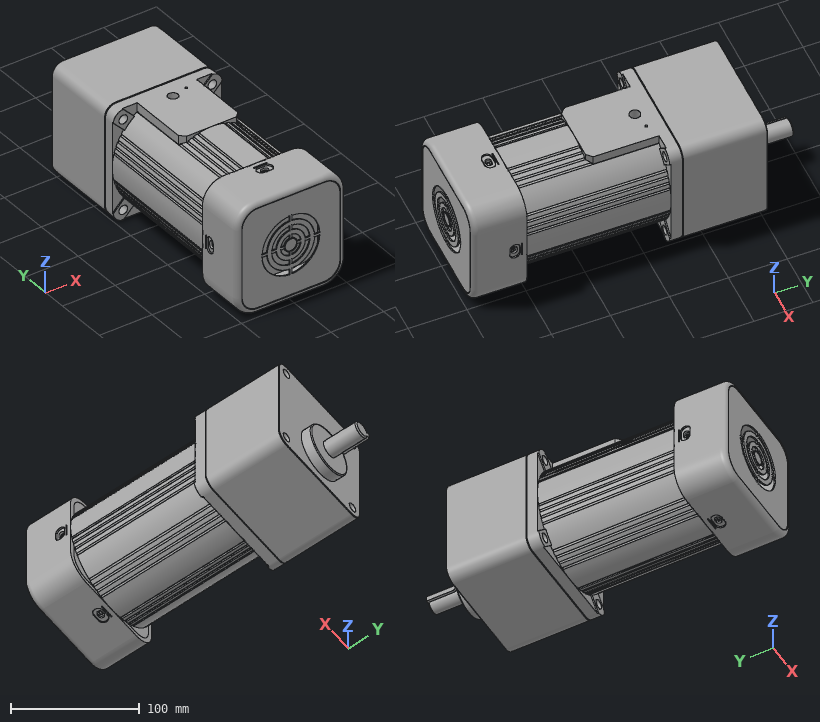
import cadquery as cq
import math

side = 104.0
half_side = side / 2

cover_end = 46.0
flange_start = 168.2
flange_end = 178.0
gearbox_end = 250.2
boss_end = 260.0
shaft_end = 292.0

gearbox_corner_radius = 10.5
gearbox_edge_chamfer = 0.5
output_drop = 20.0
boss_radius = 23.5
boss_chamfer = 1.0
shaft_radius = 7.5
shaft_chamfer = 1.2
key_width = 5.0
key_length = 26.0
key_reach = 9.3

bolt_offset = 42.3
bolt_hole_diameter = 8.2
lug_width = 13.5
lug_height = 1.2

barrel_radius = half_side
groove_radius = 1.0
groove_start_angle = 14.3
groove_pitch_angle = 6.0
grooves_per_group = 4

pad_width = 56.6
pad_start = 107.7
pad_chamfer = 4.7
pad_bottom = math.sqrt(barrel_radius**2 - (pad_width / 2) ** 2)
cable_hole_y = 160.0
cable_hole_diameter = 9.0
cable_hole_depth = 11.7
pin_hole_x = 15.0
pin_hole_y = 163.2
pin_hole_diameter = 2.0
pin_hole_depth = 3.0

cover_corner_radius = 20.1
cover_edge_fillet = 5.0
cover_wall = 4.5
panel_depth = 0.3
panel_slope_width = 0.5
panel_slope_angle = math.degrees(math.atan2(panel_slope_width, panel_depth))
grille_thickness = 1.2
grille_inside = panel_depth + grille_thickness
hub_recess_radius = 5.5
hub_recess_depth = 0.3
fan_space_end = 32.0
spigot_half_side = half_side - cover_wall
spigot_corner_radius = cover_corner_radius - cover_wall
spigot_hole_x = 22.8
spigot_hole_drop = 13.0
spigot_hole_diameter = 2.0
spigot_hole_depth = 3.0
grille_rings = [(6.0, 9.5), (13.7, 18.0), (22.5, 27.5)]
spoke_width = 2.3

recess_y = 36.0
recess_length = 15.0
recess_width = 8.8
recess_depth = 1.5
screw_slot_length = 7.0
screw_slot_width = 5.0
screw_slot_depth = 3.5
screw_core_length = 3.8
screw_core_width = 2.3
mark_y = 41.8
mark_length = 12.3
mark_width = 0.5
mark_depth = 0.5


def section_at(y, x=0, z=0):
    """Workplane across the Y axis; local X is -X, local Y is Z and extrusion runs towards +Y."""
    return cq.Workplane(cq.Plane(origin=(x, y, z), xDir=(-1, 0, 0), normal=(0, 1, 0)))


def rounded_square(start, end, half_width, corner_radius):
    """Square bar along Y with rounded corners."""
    bar = section_at(start).rect(2 * half_width, 2 * half_width).extrude(end - start)
    return bar.edges("|Y").fillet(corner_radius)


def rod(start, end, radius, z=0):
    """Round bar along Y."""
    return section_at(start, z=z).circle(radius).extrude(end - start)


def bolt_holes(start, end):
    """Four round tools, one in each corner."""
    pattern = section_at(start).rect(2 * bolt_offset, 2 * bolt_offset, forConstruction=True).vertices()
    return pattern.circle(bolt_hole_diameter / 2).extrude(end - start)


def make_key():
    """Key on the -X side of the shaft, square at the shaft tip and round at the inner end."""
    round_radius = key_width / 2
    outline = (
        cq.Workplane("YZ", origin=(-key_reach, shaft_end, -output_drop))
        .moveTo(0, round_radius)
        .lineTo(round_radius - key_length, round_radius)
        .threePointArc((-key_length, 0), (round_radius - key_length, -round_radius))
        .lineTo(0, -round_radius)
        .close()
    )
    return outline.extrude(key_reach)


def make_gearbox():
    body = rounded_square(flange_end, gearbox_end, half_side, gearbox_corner_radius)
    body = body.faces("<Y or >Y").edges().chamfer(gearbox_edge_chamfer)
    boss = rod(gearbox_end, boss_end, boss_radius, -output_drop).faces(">Y").edges().chamfer(boss_chamfer)
    shaft = rod(boss_end, shaft_end, shaft_radius, -output_drop).faces(">Y").edges().chamfer(shaft_chamfer)
    body = body.union(boss).union(shaft).union(make_key())
    return body.cut(bolt_holes(flange_end, gearbox_end))


def make_flange():
    """Square flange with a raised diagonal lug around each bolt hole."""
    flange = rounded_square(flange_start, flange_end, half_side, gearbox_corner_radius)
    lug_start = flange_start - lug_height
    diagonals = (
        section_at(lug_start)
        .transformed(rotate=(0, 0, 45))
        .rect(4 * half_side, lug_width)
        .rect(lug_width, 4 * half_side)
        .extrude(lug_height, combine=False)
    )
    lugs = rounded_square(lug_start, flange_start, half_side, gearbox_corner_radius).intersect(diagonals)
    return flange.union(lugs)


def make_grooves():
    """Half-round cooling grooves in two mirrored groups on each of the four sides."""
    one = section_at(cover_end, x=barrel_radius).circle(groove_radius).extrude(flange_start - cover_end)
    grooves = []
    for quarter in range(4):
        for direction in (-1, 1):
            for index in range(grooves_per_group):
                offset = groove_start_angle + index * groove_pitch_angle
                angle = quarter * 90 + direction * offset
                grooves.append(one.rotate((0, 0, 0), (0, 1, 0), angle).val())
    return cq.Compound.makeCompound(grooves)


def make_pad():
    """Flat terminal pad from the flange towards the fan cover, with chamfered free corners."""
    length = flange_start - pad_start
    pad = (
        cq.Workplane("XY", origin=(0, pad_start + length / 2, pad_bottom))
        .rect(pad_width, length)
        .extrude(half_side - pad_bottom)
    )
    return pad.faces("<Y").edges("|Z").chamfer(pad_chamfer)


def pad_hole(x, y, diameter, depth):
    """Blind hole tool sunk from the top of the pad."""
    return cq.Workplane("XY", origin=(x, y, half_side)).circle(diameter / 2).extrude(-depth)


def make_spigot_holes():
    """Two small blind holes in the rear face of the spigot."""
    centres = [(direction * spigot_hole_x, -spigot_hole_drop) for direction in (-1, 1)]
    holes = section_at(fan_space_end).pushPoints(centres).circle(spigot_hole_diameter / 2)
    return holes.extrude(spigot_hole_depth)


def make_motor():
    body = rod(cover_end, flange_start, barrel_radius).cut(make_grooves())
    body = body.union(make_flange()).union(make_pad())
    body = body.cut(bolt_holes(flange_start - lug_height, flange_end))
    body = body.cut(pad_hole(0, cable_hole_y, cable_hole_diameter, cable_hole_depth))
    body = body.cut(pad_hole(pin_hole_x, pin_hole_y, pin_hole_diameter, pin_hole_depth))
    spigot = rounded_square(fan_space_end, cover_end, spigot_half_side, spigot_corner_radius)
    return body.union(spigot).cut(make_spigot_holes())


def make_grille_slots():
    """Rings of slots that two crossed spokes divide into quarters."""
    slots = cq.Workplane("XZ")
    for inner_radius, outer_radius in grille_rings:
        core = rod(panel_depth, grille_inside, inner_radius)
        slots = slots.union(rod(panel_depth, grille_inside, outer_radius).cut(core))
    level_spoke = section_at(panel_depth).rect(side, spoke_width).extrude(grille_thickness)
    upright_spoke = section_at(panel_depth).rect(spoke_width, side).extrude(grille_thickness)
    return slots.cut(level_spoke).cut(upright_spoke)


def make_side_recess():
    """Tools on the top side: recess, stepped screw slot through the wall and a shallow mark beside it."""

    def stadium(length, width, depth):
        return cq.Workplane("XY", origin=(0, recess_y, half_side)).slot2D(length, width).extrude(-depth)

    recess = stadium(recess_length, recess_width, recess_depth)
    screw_slot = stadium(screw_slot_length, screw_slot_width, screw_slot_depth)
    screw_core = stadium(screw_core_length, screw_core_width, cover_wall)
    mark_top = cq.Workplane("XY", origin=(0, mark_y, half_side))
    mark = mark_top.rect(mark_length, mark_width).extrude(-mark_depth)
    return recess.union(screw_slot).union(screw_core).union(mark)


def make_fan_cover():
    body = rounded_square(0, cover_end, half_side, cover_corner_radius)
    body = body.faces("<Y").edges().fillet(cover_edge_fillet)
    panel_half_side = half_side - cover_edge_fillet
    panel_recess = (
        section_at(0)
        .sketch()
        .rect(2 * panel_half_side, 2 * panel_half_side)
        .vertices()
        .fillet(cover_corner_radius - cover_edge_fillet)
        .finalize()
        .extrude(panel_depth, taper=panel_slope_angle)
    )
    body = body.cut(panel_recess)
    body = body.cut(rounded_square(grille_inside, cover_end, spigot_half_side, spigot_corner_radius))
    body = body.cut(make_grille_slots())
    body = body.cut(rod(panel_depth, panel_depth + hub_recess_depth, hub_recess_radius))
    side_recess = make_side_recess()
    for quarter in range(4):
        body = body.cut(side_recess.rotate((0, 0, 0), (0, 1, 0), quarter * 90))
    return body


gearbox = make_gearbox()
motor = make_motor()
fan_cover = make_fan_cover()

result = cq.Compound.makeCompound([gearbox.val(), motor.val(), fan_cover.val()])